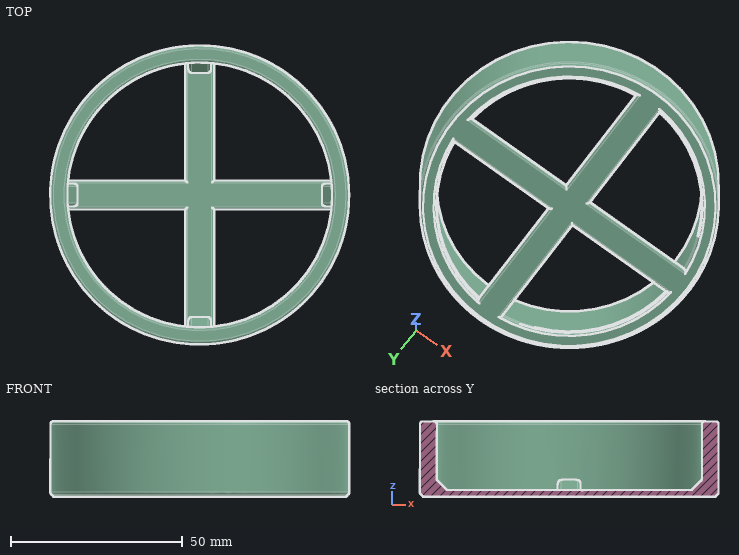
import cadquery as cq

outer_diameter = 87.0
inner_diameter = 77.0
ring_height = 22.0
rim_fillet = 1.0
base_chamfer = 1.0
base_blend = 0.9

arm_width = 8.5
arm_thickness = 2.0
arm_edge_fillet = 0.8

gusset_width = 6.7
gusset_start_radius = 35.5
gusset_fillet = 1.0
gusset_angles = (0, 90, 180, 270)

inner_radius = inner_diameter / 2
wall_thickness = (outer_diameter - inner_diameter) / 2
wall_middle_radius = inner_radius + wall_thickness / 2


def make_ring():
    """Plain ring with a rounded rim and a chamfered base, the chamfers blended into the walls."""
    ring = cq.Workplane("XY").circle(outer_diameter / 2).circle(inner_radius).extrude(ring_height)
    ring = ring.faces(">Z").edges().fillet(rim_fillet)
    ring = ring.faces("<Z").edges().chamfer(base_chamfer)
    chamfer_top = cq.selectors.BoxSelector(
        (-outer_diameter, -outer_diameter, base_chamfer / 2),
        (outer_diameter, outer_diameter, base_chamfer * 2),
        boundingbox=True,
    )
    return ring.edges("%CIRCLE").edges(chamfer_top).fillet(base_blend)


def make_cross():
    """Two crossing arms with rounded top and bottom edges, ending inside the wall."""
    length = 2 * wall_middle_radius
    arm_x = cq.Workplane("XY").box(length, arm_width, arm_thickness, centered=(True, True, False))
    arm_y = cq.Workplane("XY").box(arm_width, length, arm_thickness, centered=(True, True, False))
    return arm_x.union(arm_y).faces("|Z").edges().fillet(arm_edge_fillet)


def make_gusset(angle):
    """45 degree wedge on an arm, its sloped edges rounded, turned about the ring axis."""
    run = wall_middle_radius - gusset_start_radius
    rise = inner_radius - gusset_start_radius
    wedge = (
        cq.Workplane("XZ", origin=(gusset_start_radius, 0, arm_thickness))
        .polyline([(0, 0), (rise, rise), (run, rise), (run, 0)])
        .close()
        .extrude(gusset_width / 2, both=True)
    )
    wedge = wedge.faces("<(1,0,-1)").edges("#Y").fillet(gusset_fillet)
    return wedge.rotate((0, 0, 0), (0, 0, 1), angle)


result = make_ring().union(make_cross())
for gusset_angle in gusset_angles:
    result = result.union(make_gusset(gusset_angle))